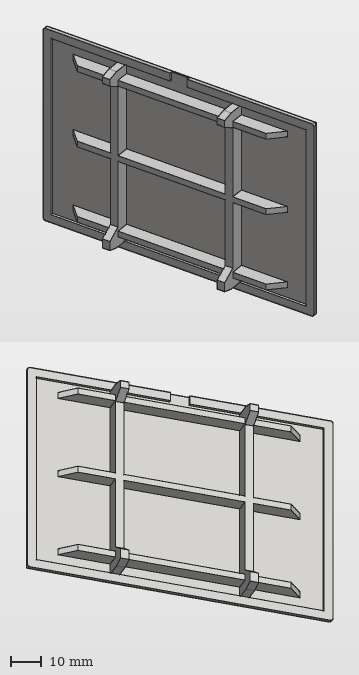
import cadquery as cq

plate_length = 105.6
plate_height = 73.8
plate_thickness = 4.0
back_fillet = 3.7
corner_radius = 1.0

rim_width = 3.1
recess_depth = 1.0
notch_width = 6.7

rib_height = 4.0
long_rib_width = 2.2
long_rib_spacing = 28.9
long_rib_flat_length = 73.6
cross_rib_width = 3.0
cross_rib_spacing = 44.8

overall_depth = 12.8
hook_height = overall_depth - plate_thickness
hook_taper_start = 5.0
hook_tip_outer = 32.8
top_hook_tip_inner = 30.3
top_hook_root = 27.6
bottom_hook_tip_inner = 29.4
bottom_hook_root = 26.3

recess_length = plate_length - 2 * rim_width
recess_height = plate_height - 2 * rim_width
cross_rib_end = recess_height / 2


def box(length, depth, height, start_y):
    """Box centred in X and Z that extends from start_y towards +Y."""
    return cq.Workplane("XY").box(length, depth, height).translate((0, start_y + depth / 2, 0))


def rounded_slab(edge_direction):
    """Plate-sized slab with two opposite back edges rounded."""
    slab = box(plate_length, plate_thickness, plate_height, 0)
    return slab.faces(">Y").edges(edge_direction).fillet(back_fillet)


def make_plate():
    """Plate with mitred rounded back edges, recess and rim notch."""
    outline = box(plate_length, plate_thickness, plate_height, 0).edges("|Y").fillet(corner_radius)
    plate = rounded_slab("|X").intersect(rounded_slab("|Z")).intersect(outline)
    recess = box(recess_length, recess_depth, recess_height, 0)
    notch = box(notch_width, recess_depth, plate_height / 2, 0).translate((0, 0, plate_height / 4))
    return plate.cut(recess).cut(notch)


def long_rib(center_z):
    """Rib along X whose ends slope at 45 degrees down to the recess floor."""
    half_flat = long_rib_flat_length / 2
    half_base = half_flat + rib_height + recess_depth
    return (
        cq.Workplane("XY")
        .polyline([
            (-half_base, recess_depth),
            (half_base, recess_depth),
            (half_flat, -rib_height),
            (-half_flat, -rib_height),
        ])
        .close()
        .extrude(long_rib_width / 2, both=True)
        .translate((0, 0, center_z))
    )


def cross_rib(center_x):
    """Rib along Z with a tapered hook at each end."""
    return (
        cq.Workplane("YZ")
        .polyline([
            (recess_depth, cross_rib_end),
            (-hook_taper_start, cross_rib_end),
            (-hook_height, hook_tip_outer),
            (-hook_height, top_hook_tip_inner),
            (-rib_height, top_hook_root),
            (-rib_height, -bottom_hook_root),
            (-hook_height, -bottom_hook_tip_inner),
            (-hook_height, -hook_tip_outer),
            (-hook_taper_start, -cross_rib_end),
            (recess_depth, -cross_rib_end),
        ])
        .close()
        .extrude(cross_rib_width / 2, both=True)
        .translate((center_x, 0, 0))
    )


result = make_plate()
for row in (-1, 0, 1):
    result = result.union(long_rib(row * long_rib_spacing))
for side in (-1, 1):
    result = result.union(cross_rib(side * cross_rib_spacing / 2))